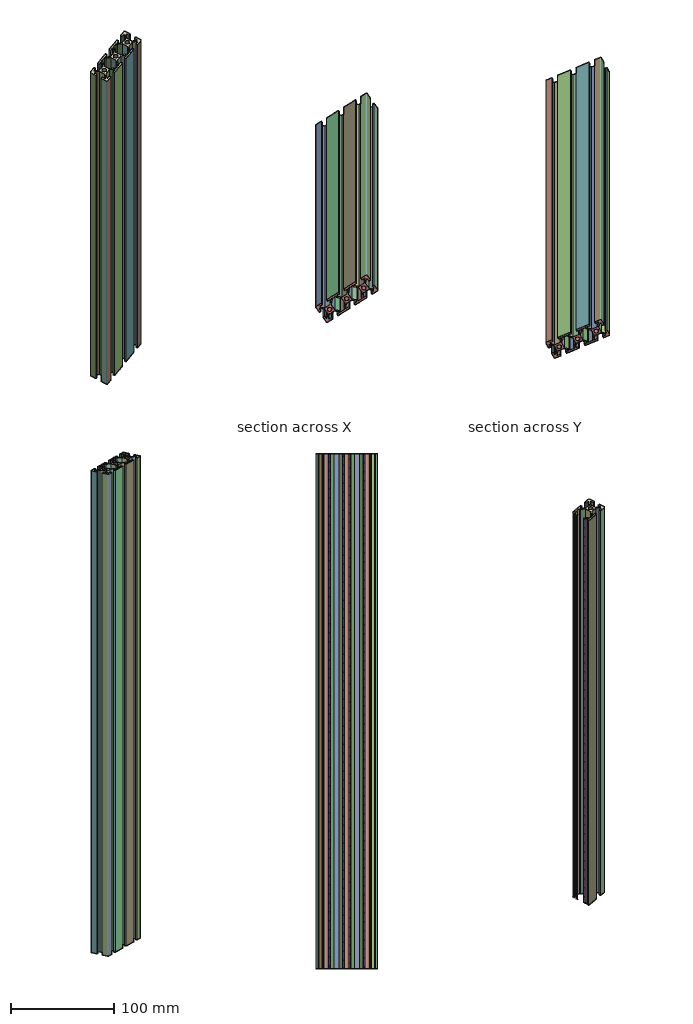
import cadquery as cq

cell = 20.0
cell_count = 3
length = 500.0
corner_radius = 1.0

slot_opening = 6.0
slot_inner_width = 12.0
lip_thickness = 2.0

chamber_wall = 2.0
side_rib_thickness = 1.5

core_width = 8.0
web_offset = 1.0
bore_diameter = 4.2

half_cell = cell / 2
half_core = core_width / 2
lip_inner_face = half_cell - lip_thickness
chamber_half_width = half_cell - chamber_wall
profile_width = cell
profile_height = cell * cell_count
cell_centres = [(i - (cell_count - 1) / 2) * cell for i in range(cell_count)]
chamber_centres = [y + half_cell for y in cell_centres[:-1]]


def make_blank():
    """Full-length bar with its four long outer edges rounded."""
    bar = cq.Workplane("XY").rect(profile_width, profile_height).extrude(length)
    return bar.edges("|Z").fillet(corner_radius)


def make_slot(centre_y, angle):
    """T-slot cutter for one cell, opening toward +X before it is turned by angle."""
    half_opening = slot_opening / 2
    half_inner = slot_inner_width / 2
    half_floor = half_core - web_offset
    upper = [
        (half_core, half_floor),
        (half_inner + web_offset, half_inner),
        (lip_inner_face, half_inner),
        (lip_inner_face, half_opening),
        (half_cell, half_opening),
    ]
    lower = [(x, -y) for x, y in reversed(upper)]
    cutter = cq.Workplane("XY").polyline(upper + lower).close().extrude(length)
    return cutter.rotate((0, 0, 0), (0, 0, 1), angle).translate((0, centre_y, 0))


def make_chamber(centre_y):
    """Cavity between two neighbouring cells: a tapered hollow with a square recess on each side."""
    half_height = half_cell - half_core
    half_end = half_core - web_offset
    half_recess = half_cell - slot_inner_width / 2 - side_rib_thickness
    taper_end = half_cell - web_offset - half_recess
    right = [
        (half_end, -half_height),
        (taper_end, -half_recess),
        (chamber_half_width, -half_recess),
        (chamber_half_width, half_recess),
        (taper_end, half_recess),
        (half_end, half_height),
    ]
    left = [(-x, y) for x, y in reversed(right)]
    cavity = cq.Workplane("XY").polyline(right + left).close().extrude(length)
    return cavity.translate((0, centre_y, 0))


def make_bores():
    points = [(0, y) for y in cell_centres]
    return cq.Workplane("XY").pushPoints(points).circle(bore_diameter / 2).extrude(length)


profile = make_blank()

for y in cell_centres:
    profile = profile.cut(make_slot(y, 0)).cut(make_slot(y, 180))

profile = profile.cut(make_slot(cell_centres[-1], 90))
profile = profile.cut(make_slot(cell_centres[0], -90))

for y in chamber_centres:
    profile = profile.cut(make_chamber(y))

result = profile.cut(make_bores())